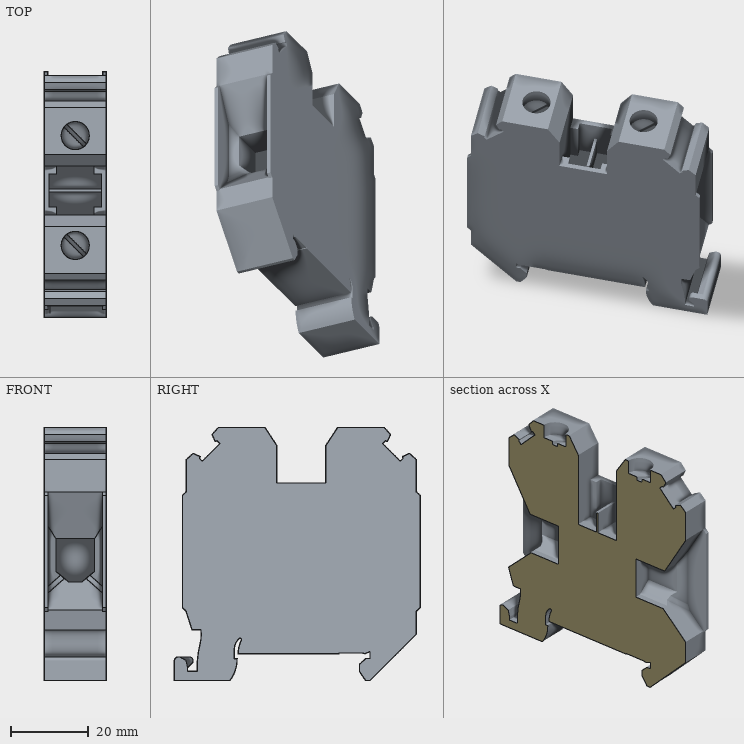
import cadquery as cq

WIDTH = 16.0
LENGTH = 63.2
HEIGHT = 65.05
CHEEK_Y = 30.6
CHEEK_STEP = 1.0
END_Y = CHEEK_Y - CHEEK_STEP
CHEEK_TOP = 48.5
CHEEK_BOTTOM = 17.75
CHEEK_THICKNESS = 1.0
FOOT_Y = CHEEK_Y - LENGTH

SLOT_HALF = 6.25
SLOT_FLOOR = 50.8
SLOT_CHAMFER_Y = 9.3
SLOT_CHAMFER_Z = 60.35
POCKET_DEPTH = 11.05
POCKET_WIDE_X = 13.5
POCKET_WIDE_Y = 8.5
POCKET_NARROW_X = 9.6
WEB_THICKNESS = 0.7
WEB_DROP = 5.2

SHOULDER_TOP_Y = 21.35
GROOVE_LINE = HEIGHT - END_Y

FUNNEL_BOTTOM = 18.1
FUNNEL_HALF_X = WIDTH / 2 - CHEEK_THICKNESS
FUNNEL_TAPER_Y = 24.4
FUNNEL_HOLE_Y = 22.5
FUNNEL_END_Y = 20.5
FUNNEL_FLOOR_SLOPE = 0.95
FUNNEL_CORNER_LOW = (7.0, 25.1, 22.45)
FUNNEL_CORNER_HIGH = (7.0, 24.4, 24.2)
FUNNEL_CORNER_BACK = (2.6, 21.0, 26.3)
HOLE_HALF_X = 5.0
HOLE_TOP = 36.55
HOLE_SHOULDER = 28.1
HOLE_FLOOR = 25.3
HOLE_FLOOR_HALF_X = 1.6
HOLE_END_Y = 13.0

SCREW_Y = 14.1
SCREW_DIAMETER = 7.2
SCREW_DEPTH = 3.7
DRIVE_WIDTH = 1.05
DRIVE_DEPTH = 1.0
DRIVE_ANGLE = -45

NECK_Y = 28.1
NECK_Z = 13.0
FUNNEL_LIP_Y = 29.7
NECK_SLOPE = (FUNNEL_LIP_Y - NECK_Y) / (FUNNEL_BOTTOM - NECK_Z)
NECK_TOP_Y = NECK_Y + NECK_SLOPE * (CHEEK_BOTTOM - NECK_Z)

HOOK_TOP = 6.1
HOOK_RADIUS = 1.0
HOOK_BLOCK_WIDTH = 1.55
HOOK_FLOOR_Z = 2.5
HOOK_INNER_Y = -29.2
HOOK_INNER_Z = 3.3
LEG_Y = -26.8

SEAT_Z = 6.9
SEAT_RAISED_Z = 7.1
RAIL_STEP_Z = 5.65
RAIL_GROOVE_Y = 17.6
RAIL_GROOVE_Z = 5.7


def shoulder(side):
    """Outline of one outer shoulder with its label groove, from the tower top down to the end wall."""
    upper = [(SHOULDER_TOP_Y, HEIGHT), (22.95, 63.2), (22.1, 61.4), (21.65, 61.6), (20.95, 60.9)]
    lower = [(z - GROOVE_LINE, y + GROOVE_LINE) for y, z in reversed(upper)]
    return [(side * y, z) for y, z in upper + lower]


def end_wall(side, foot_y):
    """Outline of one stepped end wall, downwards, above the bottom corner."""
    return [
        (side * END_Y, CHEEK_TOP),
        (side * CHEEK_Y, CHEEK_TOP - CHEEK_STEP),
        (side * CHEEK_Y, CHEEK_BOTTOM + CHEEK_STEP),
        (side * foot_y, CHEEK_BOTTOM),
    ]


def tower_side(side):
    """Inner side of one tower, from the slot floor up to the top."""
    return [
        (side * SLOT_HALF, SLOT_FLOOR),
        (side * SLOT_HALF, SLOT_CHAMFER_Z),
        (side * SLOT_CHAMFER_Y, HEIGHT),
    ]


def make_body():
    """Full-width body with both feet and the stepped end walls."""
    near_side = tower_side(-1) + shoulder(-1) + end_wall(-1, NECK_TOP_Y)
    far_side = tower_side(1) + shoulder(1) + end_wall(1, END_Y)
    outline = (
        cq.Workplane("YZ")
        .polyline(near_side)
        .lineTo(-NECK_Y, NECK_Z)
        .lineTo(-25.8, NECK_Z)
        .threePointArc((-25.75, 11.3), (-26.0, 9.55))
        .threePointArc((-26.6, 6.5), (LEG_Y, HOOK_FLOOR_Z))
        .lineTo(HOOK_INNER_Y, HOOK_FLOOR_Z)
        .lineTo(HOOK_INNER_Y, HOOK_INNER_Z)
        .lineTo(-29.65, 5.2)
        .lineTo(-31.15, 6.05)
        .threePointArc((FOOT_Y + HOOK_RADIUS, HOOK_TOP), (FOOT_Y, HOOK_TOP - HOOK_RADIUS))
        .lineTo(FOOT_Y, 0)
        .lineTo(-18.35, 0)
        .threePointArc((-17.0, 2.55), (-16.45, RAIL_STEP_Z))
        .lineTo(-17.2, RAIL_STEP_Z)
        .lineTo(-17.2, 8.2)
        .threePointArc((-16.8, 9.7), (-15.95, 10.8))
        .threePointArc((-15.5, 10.75), (-15.5, 10.3))
        .threePointArc((-16.05, 8.6), (-16.25, SEAT_Z))
        .lineTo(9.7, SEAT_Z)
        .lineTo(9.7, SEAT_RAISED_Z)
        .lineTo(15.55, SEAT_RAISED_Z)
        .lineTo(16.3, SEAT_Z)
        .lineTo(RAIL_GROOVE_Y, 7.4)
        .lineTo(RAIL_GROOVE_Y, RAIL_GROOVE_Z)
        .lineTo(16.6, RAIL_GROOVE_Z)
        .lineTo(14.9, 4.15)
        .lineTo(14.9, 2.4)
        .lineTo(16.5, 0)
        .lineTo(RAIL_GROOVE_Y, 0)
        .lineTo(END_Y, 12.0)
    )
    for point in reversed(far_side):
        outline = outline.lineTo(*point)
    return outline.close().extrude(WIDTH / 2, both=True)


def make_hook_block():
    """Short end of the hook with a flat top and a rounded tip."""
    return (
        cq.Workplane("YZ", origin=(-WIDTH / 2, 0, 0))
        .moveTo(HOOK_INNER_Y, HOOK_FLOOR_Z)
        .lineTo(HOOK_INNER_Y, HOOK_INNER_Z)
        .lineTo(-28.1, 4.4)
        .threePointArc((-27.85, 5.45), (-28.75, HOOK_TOP))
        .lineTo(FOOT_Y + HOOK_RADIUS, HOOK_TOP)
        .lineTo(FOOT_Y + HOOK_RADIUS, HOOK_FLOOR_Z)
        .close()
        .extrude(HOOK_BLOCK_WIDTH)
    )


def box_between(x_size, y_size, bottom, top):
    """Box centred on the Z axis between two heights."""
    return (
        cq.Workplane("XY", origin=(0, 0, bottom))
        .rect(x_size, y_size)
        .extrude(top - bottom)
    )


def make_pocket():
    """Cross-shaped pocket in the slot floor, divided by a low web."""
    floor = SLOT_FLOOR - POCKET_DEPTH
    wide = box_between(POCKET_WIDE_X, POCKET_WIDE_Y, floor, SLOT_FLOOR)
    narrow = box_between(POCKET_NARROW_X, 2 * SLOT_HALF, floor, SLOT_FLOOR)
    web = box_between(POCKET_WIDE_X, WEB_THICKNESS, floor, SLOT_FLOOR - WEB_DROP)
    return wide.union(narrow).cut(web)


def make_screw_shaft(y):
    """Round shaft with a driver slot in the screw head at its bottom."""
    floor = HEIGHT - SCREW_DEPTH
    screw_top = cq.Workplane("XY", origin=(0, y, floor))
    shaft = screw_top.circle(SCREW_DIAMETER / 2).extrude(SCREW_DEPTH)
    head = screw_top.circle(SCREW_DIAMETER / 2).extrude(-DRIVE_DEPTH)
    drive = (
        screw_top
        .transformed(rotate=(0, 0, DRIVE_ANGLE))
        .rect(SCREW_DIAMETER, DRIVE_WIDTH)
        .extrude(-DRIVE_DEPTH)
    )
    return shaft.union(head.intersect(drive))


def corner_cutter(side):
    """Block below the sloped face between a funnel side wall and the floor."""
    low, high, back = [cq.Vector(side * x, y, z) for x, y, z in
                       (FUNNEL_CORNER_LOW, FUNNEL_CORNER_HIGH, FUNNEL_CORNER_BACK)]
    normal = (high - low).cross(back - low) * side
    plane = cq.Plane(origin=low.toTuple(), xDir=(back - low).toTuple(), normal=normal.toTuple())
    return cq.Workplane(plane).rect(HEIGHT, HEIGHT).extrude(HEIGHT / 2)


def make_funnel(lip_y, foot_y):
    """Wire funnel and hole at the +Y end.

    lip_y is where the funnel floor ends, foot_y is where the cheek chamfers end.
    """
    floor_end = FUNNEL_BOTTOM + FUNNEL_FLOOR_SLOPE * (lip_y - FUNNEL_END_Y)
    top_slope = (CHEEK_TOP - HOLE_TOP) / (END_Y - FUNNEL_HOLE_Y)
    top_end = CHEEK_TOP - top_slope * (END_Y - FUNNEL_END_Y)
    taper = (FUNNEL_HALF_X - HOLE_HALF_X) / (FUNNEL_TAPER_Y - FUNNEL_HOLE_Y)
    end_half_x = FUNNEL_HALF_X - taper * (FUNNEL_TAPER_Y - FUNNEL_END_Y)
    side_shape = (
        cq.Workplane("YZ")
        .polyline([
            (CHEEK_Y, CHEEK_BOTTOM),
            (CHEEK_Y, CHEEK_TOP),
            (END_Y, CHEEK_TOP),
            (FUNNEL_END_Y, top_end),
            (FUNNEL_END_Y, floor_end),
            (lip_y, FUNNEL_BOTTOM),
            (foot_y, CHEEK_BOTTOM),
        ])
        .close()
        .extrude(WIDTH, both=True)
    )
    plan_shape = (
        cq.Workplane("XY")
        .polyline([
            (-FUNNEL_HALF_X, CHEEK_Y),
            (FUNNEL_HALF_X, CHEEK_Y),
            (FUNNEL_HALF_X, FUNNEL_TAPER_Y),
            (end_half_x, FUNNEL_END_Y),
            (-end_half_x, FUNNEL_END_Y),
            (-FUNNEL_HALF_X, FUNNEL_TAPER_Y),
        ])
        .close()
        .extrude(HEIGHT)
    )
    funnel = side_shape.intersect(plan_shape)
    for side in (-1, 1):
        funnel = funnel.cut(corner_cutter(side))
    hole = (
        cq.Workplane("XZ", origin=(0, HOLE_END_Y, 0))
        .polyline([
            (-HOLE_HALF_X, HOLE_TOP),
            (HOLE_HALF_X, HOLE_TOP),
            (HOLE_HALF_X, HOLE_SHOULDER),
            (HOLE_FLOOR_HALF_X, HOLE_FLOOR),
            (-HOLE_FLOOR_HALF_X, HOLE_FLOOR),
            (-HOLE_HALF_X, HOLE_SHOULDER),
        ])
        .close()
        .extrude(HOLE_END_Y - FUNNEL_HOLE_Y)
    )
    return funnel.union(hole)


result = make_body().union(make_hook_block()).cut(make_pocket())
for cutter in (make_funnel(END_Y, END_Y), make_funnel(FUNNEL_LIP_Y, NECK_TOP_Y).mirror("XZ")):
    result = result.cut(cutter)
for y in (-SCREW_Y, SCREW_Y):
    result = result.cut(make_screw_shaft(y))